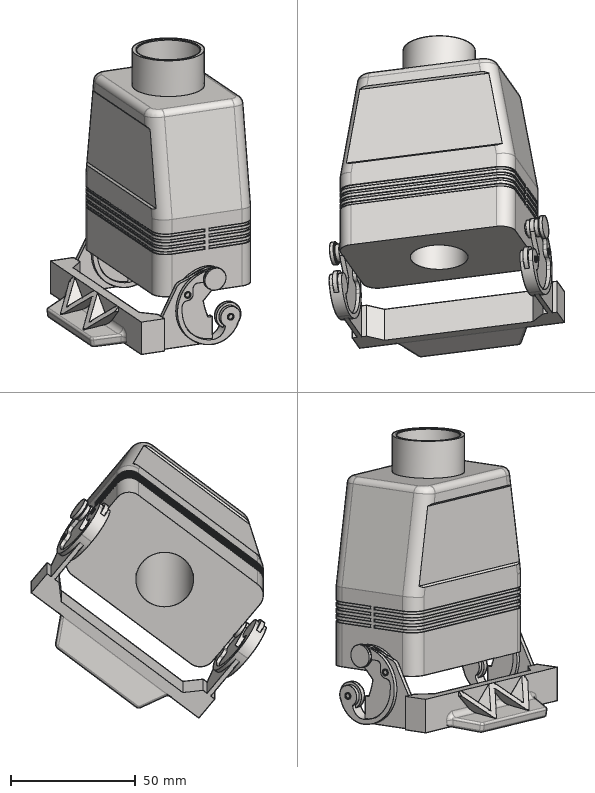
import cadquery as cq
import math


HOOD_HALF_X = 36.5
HOOD_HALF_Y = 21.5
HOOD_TOP = 76.1
TAPER_START = 32.5
TAPER_ANGLE = 10
HOOD_CORNER_R = 6.1
HOOD_TOP_R = 3.0

PANEL_DEPTH = 0.8
PANEL_BOTTOM = 35.9
PANEL_TOP = 69.3

GROOVE_FIRST = 18.4
GROOVE_PITCH = 2.5
GROOVE_COUNT = 4
GROOVE_WIDTH = 1.1
GROOVE_DEPTH = 0.6
GROOVE_GAP = 1.9

NECK_R = 14.5
NECK_TOP = 91.1
NECK_BORE_R = 12.7
NECK_BORE_DEPTH = 12.5
NECK_CHAMFER = 0.3
CABLE_BORE_R = 11.6

CHEEK_INNER = 37.3
CHEEK_OUTER = 42.5
WEB_INNER = 38.9
WEB_OUTER = 40.8
PIVOT_Z = 7.5
PIVOT_EYE_R = 4.0
PIVOT_PIN_R = 2.5
PIN_START = 26.1
KNOB_R = 4.6
KNOB_BASE = 43.0
KNOB_WIDTH = 89.0
KNOB_END = KNOB_WIDTH / 2
KNOB_COLLAR_R = 4.2
RIM_CENTRE_Z = -4.8
RIM_OUTER_R = 15.9
RIM_INNER_R = 13.8
HOOK_Y = 7.6
HOOK_Z = -10.0
HOOK_R = 4.3
ROLLER_R = 5.4
RIVET_Y = -11.5
RIVET_Z = 1.9
RIVET_SEAT_R = 2.5
RIVET_R = 1.4
RIVET_HOLE_R = 1.0
RIVET_HEIGHT = 0.4
SHOULDER_Y = -6.9
SHOULDER_Z = 6.2

HOOK_BACK_MIDDLE = (8.2, -17.2)
HOOK_BACK_END = (11.5, -11.8)
HOOK_THROAT_START = (5.3, -13.6)
HOOK_THROAT_MIDDLE = (3.7, -16.9)

WEB_BACK = 0.3
WEB_EYE_TANGENT = (3.0, 4.8)
WEB_NOTCH_TIP = (-3.6, -2.3)
WEB_NOTCH_MIDDLE = (-2.7, -6.1)
WEB_NOTCH_END = (-1.5, -9.4)
WEB_CREST_START = (-13.4, 6.8)
WEB_CREST_MIDDLE = (-14.9, 5.9)
WEB_CREST_END = (-15.8, 4.4)
WEB_TOP_ANGLE = 110
WEB_OVERLAP = 1.1

BAR_HALF_X = 42.9
BAR_BACK = -21.8
BAR_FRONT = -32.1
BAR_TOP = -6.6
BAR_BOTTOM = -20.3
BAR_RELIEF_HALF_X = 36.8
BAR_RELIEF_DEPTH = 5.8

GRIP_SLOPE = 10
GRIP_THICKNESS = 4.1
GRIP_LENGTH = 11.7
GRIP_TAIL = 2.3
GRIP_ROOT_HALF_X = 27.3
GRIP_TIP_HALF_X = 21.1
GRIP_CORNER_R = 1.7
GRIP_EDGE_R = 0.9
GRIP_ROOT_R = 2.6

GRIP_TILT = math.radians(GRIP_SLOPE)
GRIP_PLANE = cq.Plane(
    origin=(0, BAR_FRONT, BAR_BOTTOM),
    xDir=(1, 0, 0),
    normal=(0, -math.sin(GRIP_TILT), math.cos(GRIP_TILT)),
)

TOLERANCE = 0.02

RIB_HALF_X = 10.7
RIB_SIDE_HEIGHT = 1.9
RIB_TIP_Z = -18.4
RIB_TROUGH_HALF_X = 9.9
RIB_TROUGH_Z = -15.4
RIB_TROUGH_DRAFT = 3
RIB_REACH = 10.9


def x_slab(sketch, start, end):
    """Extrude a closed YZ outline between two X positions."""
    return sketch.extrude(end - start).translate((start, 0, 0))


def x_cylinder(y, z, radius, start, end):
    return x_slab(cq.Workplane("YZ").center(y, z).circle(radius), start, end)


def both_ends(solid):
    return solid.union(solid.mirror("YZ"))


def hood_body():
    top_half_x = HOOD_HALF_X - (HOOD_TOP - TAPER_START) * math.tan(math.radians(TAPER_ANGLE))
    body = (
        cq.Workplane("XZ")
        .polyline([
            (-HOOD_HALF_X, 0),
            (HOOD_HALF_X, 0),
            (HOOD_HALF_X, TAPER_START),
            (top_half_x, HOOD_TOP),
            (-top_half_x, HOOD_TOP),
            (-HOOD_HALF_X, TAPER_START),
        ])
        .close()
        .extrude(HOOD_HALF_Y, both=True)
    )
    body = body.edges("(not #Z) and (not |Y) and (not |X)").fillet(HOOD_CORNER_R)
    return body.faces(">Z").edges().fillet(HOOD_TOP_R)


def panel_cuts():
    floor = HOOD_HALF_Y - PANEL_DEPTH
    cut = x_slab(
        cq.Workplane("YZ")
        .polyline([
            (-HOOD_HALF_Y - PANEL_DEPTH, PANEL_BOTTOM - PANEL_DEPTH),
            (-floor, PANEL_BOTTOM + PANEL_DEPTH),
            (-floor, PANEL_TOP - PANEL_DEPTH),
            (-HOOD_HALF_Y - PANEL_DEPTH, PANEL_TOP + PANEL_DEPTH),
        ])
        .close(),
        -HOOD_HALF_X,
        HOOD_HALF_X,
    )
    return cut.union(cut.mirror("XZ"))


def groove_cuts():
    """Stack of shallow grooves, interrupted at the middle of each narrow face."""
    outer = cq.Workplane("XY").rect(2 * HOOD_HALF_X + 2.3, 2 * HOOD_HALF_Y + 2.3).extrude(GROOVE_WIDTH)
    core = (
        cq.Workplane("XY")
        .rect(2 * (HOOD_HALF_X - GROOVE_DEPTH), 2 * (HOOD_HALF_Y - GROOVE_DEPTH))
        .extrude(GROOVE_WIDTH)
        .edges("|Z")
        .fillet(HOOD_CORNER_R - GROOVE_DEPTH)
    )
    gap = cq.Workplane("XY").rect(2 * HOOD_HALF_X + 2.3, GROOVE_GAP).extrude(GROOVE_WIDTH)
    groove = outer.cut(core).cut(gap)
    cuts = cq.Workplane("XY")
    for index in range(GROOVE_COUNT):
        bottom = GROOVE_FIRST + index * GROOVE_PITCH - GROOVE_WIDTH / 2
        cuts = cuts.add(groove.translate((0, 0, bottom)))
    return cuts.combine()


def hood():
    neck = cq.Workplane("XY").circle(NECK_R).extrude(NECK_TOP)
    neck_bore = (
        cq.Workplane("XY", origin=(0, 0, NECK_TOP - NECK_BORE_DEPTH))
        .circle(NECK_BORE_R)
        .extrude(NECK_BORE_DEPTH)
    )
    cable_bore = cq.Workplane("XY").circle(CABLE_BORE_R).extrude(NECK_TOP)
    solid = hood_body().cut(panel_cuts()).cut(groove_cuts()).union(neck)
    solid = solid.cut(neck_bore).cut(cable_bore)
    return solid.faces(">Z").edges(cq.selectors.RadiusNthSelector(0)).chamfer(NECK_CHAMFER)


def point_on_circle(centre, radius, angle):
    """Point (y, z) on a circle; the angle is measured from +Y towards +Z."""
    turn = math.radians(angle)
    return centre[0] + radius * math.cos(turn), centre[1] + radius * math.sin(turn)


def cheek_rim():
    """Thick C-shaped rim from the pivot eye round to the hook, with a lobe for the rivet."""
    rim_centre = (0, RIM_CENTRE_Z)
    seat_edge_y = RIVET_Y + RIVET_SEAT_R
    seat_edge_z = RIVET_Z - RIVET_SEAT_R
    blend_r = RIVET_Y + RIM_INNER_R
    blend_centre = (RIVET_Y, seat_edge_z - blend_r)
    shoulder_r = SHOULDER_Y - seat_edge_y
    shoulder_centre = (SHOULDER_Y, SHOULDER_Z - shoulder_r)
    outline = (
        cq.Workplane("YZ")
        .moveTo(0, RIM_CENTRE_Z + RIM_OUTER_R)
        .threePointArc((-RIM_OUTER_R, RIM_CENTRE_Z), (0, RIM_CENTRE_Z - RIM_OUTER_R))
        .threePointArc(HOOK_BACK_MIDDLE, HOOK_BACK_END)
        .lineTo(HOOK_Y, HOOK_Z)
        .lineTo(*HOOK_THROAT_START)
        .threePointArc(HOOK_THROAT_MIDDLE, (0, RIM_CENTRE_Z - RIM_INNER_R))
        .threePointArc(point_on_circle(rim_centre, RIM_INNER_R, 225), (-RIM_INNER_R, RIM_CENTRE_Z))
        .lineTo(-RIM_INNER_R, blend_centre[1])
        .threePointArc(point_on_circle(blend_centre, blend_r, 135), (RIVET_Y, seat_edge_z))
        .threePointArc(
            point_on_circle((RIVET_Y, RIVET_Z), RIVET_SEAT_R, -45),
            (seat_edge_y, RIVET_Z),
        )
        .lineTo(seat_edge_y, shoulder_centre[1])
        .threePointArc(
            point_on_circle(shoulder_centre, shoulder_r, 135),
            (SHOULDER_Y, SHOULDER_Z),
        )
        .lineTo(0, SHOULDER_Z)
        .close()
    )
    rim = x_slab(outline, CHEEK_INNER, CHEEK_OUTER)
    hook = x_cylinder(HOOK_Y, HOOK_Z, HOOK_R, CHEEK_INNER, CHEEK_OUTER)
    eye_r = RIM_CENTRE_Z + RIM_OUTER_R - PIVOT_Z
    eye = x_cylinder(0, PIVOT_Z, eye_r, CHEEK_INNER, CHEEK_OUTER)
    return rim.union(hook).union(eye)


def cheek_web():
    """Thin middle plate that fills the rim and reaches forward to the cross bar."""
    outline = (
        cq.Workplane("YZ")
        .moveTo(0, PIVOT_Z)
        .lineTo(*WEB_EYE_TANGENT)
        .lineTo(*WEB_NOTCH_TIP)
        .threePointArc(WEB_NOTCH_MIDDLE, WEB_NOTCH_END)
        .lineTo(WEB_BACK, WEB_NOTCH_END[1])
        .lineTo(WEB_BACK, BAR_BOTTOM)
        .lineTo(BAR_BACK - WEB_OVERLAP, BAR_BOTTOM)
        .lineTo(BAR_BACK - WEB_OVERLAP, BAR_TOP)
        .lineTo(BAR_BACK, BAR_TOP)
        .lineTo(*WEB_CREST_END)
        .threePointArc(WEB_CREST_MIDDLE, WEB_CREST_START)
        .lineTo(*point_on_circle((0, PIVOT_Z), PIVOT_EYE_R, WEB_TOP_ANGLE))
        .close()
    )
    roller = x_cylinder(HOOK_Y, HOOK_Z, ROLLER_R, WEB_INNER, WEB_OUTER)
    eye = x_cylinder(0, PIVOT_Z, PIVOT_EYE_R, WEB_INNER, WEB_OUTER)
    return x_slab(outline, WEB_INNER, WEB_OUTER).union(roller).union(eye)


def rivet(y, z):
    head_end = CHEEK_OUTER + RIVET_HEIGHT
    head = x_cylinder(y, z, RIVET_R, CHEEK_INNER, head_end)
    return head.cut(x_cylinder(y, z, RIVET_HOLE_R, CHEEK_OUTER, head_end))


def pivot_knob():
    """Pivot pin from the hood wall out to a round head."""
    pin = x_cylinder(0, PIVOT_Z, PIVOT_PIN_R, PIN_START, CHEEK_OUTER)
    collar = x_cylinder(0, PIVOT_Z, KNOB_COLLAR_R, CHEEK_OUTER, KNOB_BASE)
    head = x_cylinder(0, PIVOT_Z, KNOB_R, KNOB_BASE, KNOB_END)
    return pin.union(collar).union(head)


def crest_groove():
    """Groove between the two flanges of the rim, down to the straight top edge of the web."""
    eye_centre = (0, PIVOT_Z)
    outline = (
        cq.Workplane("YZ")
        .polyline([
            point_on_circle(eye_centre, PIVOT_EYE_R, WEB_TOP_ANGLE),
            WEB_CREST_START,
            (WEB_CREST_START[0], RIM_CENTRE_Z + RIM_OUTER_R),
        ])
        .close()
    )
    return x_slab(outline, WEB_INNER, WEB_OUTER)


def cheek():
    solid = cheek_rim().union(cheek_web()).cut(crest_groove()).union(pivot_knob())
    return solid.union(rivet(RIVET_Y, RIVET_Z)).union(rivet(HOOK_Y, HOOK_Z))


def cross_bar():
    relief_y = BAR_BACK - BAR_RELIEF_DEPTH
    relief_floor_x = BAR_RELIEF_HALF_X - BAR_RELIEF_DEPTH
    return (
        cq.Workplane("XY", origin=(0, 0, BAR_BOTTOM))
        .polyline([
            (-BAR_HALF_X, BAR_FRONT),
            (BAR_HALF_X, BAR_FRONT),
            (BAR_HALF_X, BAR_BACK),
            (BAR_RELIEF_HALF_X, BAR_BACK),
            (relief_floor_x, relief_y),
            (-relief_floor_x, relief_y),
            (-BAR_RELIEF_HALF_X, BAR_BACK),
            (-BAR_HALF_X, BAR_BACK),
        ])
        .close()
        .extrude(BAR_TOP - BAR_BOTTOM)
    )


def grip_plate():
    """Trapezoidal plate sloping down and forward from the lower edge of the bar."""
    side_slope = (GRIP_ROOT_HALF_X - GRIP_TIP_HALF_X) / GRIP_LENGTH
    tail_half_x = GRIP_ROOT_HALF_X + side_slope * GRIP_TAIL
    plate = (
        cq.Workplane(GRIP_PLANE)
        .polyline([
            (-tail_half_x, GRIP_TAIL),
            (-GRIP_TIP_HALF_X, -GRIP_LENGTH),
            (GRIP_TIP_HALF_X, -GRIP_LENGTH),
            (tail_half_x, GRIP_TAIL),
        ])
        .close()
        .extrude(GRIP_THICKNESS)
    )
    tip_corners = plate.edges(cq.selectors.ParallelDirSelector(GRIP_PLANE.zDir)).edges(
        cq.selectors.BoxSelector(
            (-GRIP_ROOT_HALF_X, BAR_FRONT - 2 * GRIP_LENGTH, 2 * BAR_BOTTOM),
            (GRIP_ROOT_HALF_X, BAR_FRONT, BAR_TOP),
        )
    )
    return tip_corners.fillet(GRIP_CORNER_R)


def round_grip_rim(solid, height):
    """Round the outer edges of the grip that lie at one height above its underside."""

    def on_rim(edge):
        centre = GRIP_PLANE.toLocalCoords(edge.Center())
        along_face = abs(edge.tangentAt(0.5).dot(GRIP_PLANE.zDir)) < TOLERANCE
        ahead_of_bar = edge.Center().y < BAR_FRONT - TOLERANCE
        return along_face and ahead_of_bar and abs(centre.z - height) < TOLERANCE

    return solid.edges().filter(on_rim).fillet(GRIP_EDGE_R)


def blend_grip_root(solid):
    """Fillet the line where the top and sides of the grip meet the front of the bar."""

    def on_root(edge):
        centre = edge.Center()
        on_bar_front = abs(centre.y - BAR_FRONT) < TOLERANCE
        inside_bar = abs(centre.x) < BAR_HALF_X - TOLERANCE
        return on_bar_front and inside_bar and BAR_BOTTOM + TOLERANCE < centre.z < BAR_TOP - TOLERANCE

    return solid.edges().filter(on_root).fillet(GRIP_ROOT_R)


def bar_with_grip():
    solid = cross_bar().union(grip_plate())
    solid = round_grip_rim(solid, GRIP_THICKNESS)
    solid = blend_grip_root(solid)
    return round_grip_rim(solid, 0)


def rib():
    """V-shaped rib with an open trough, its front cut off along a slanting plane."""
    reach_y = BAR_FRONT - RIB_REACH
    wall = (
        cq.Workplane("XZ", origin=(0, BAR_FRONT, 0))
        .polyline([
            (-RIB_HALF_X, BAR_TOP),
            (-RIB_HALF_X, BAR_TOP - RIB_SIDE_HEIGHT),
            (0, RIB_TIP_Z),
            (RIB_HALF_X, BAR_TOP - RIB_SIDE_HEIGHT),
            (RIB_HALF_X, BAR_TOP),
        ])
        .close()
        .extrude(RIB_REACH)
    )
    trough_top_z = 2 * BAR_TOP - RIB_TROUGH_Z
    trough = (
        cq.Workplane("XZ", origin=(0, reach_y, 0))
        .polyline([
            (-2 * RIB_TROUGH_HALF_X, trough_top_z),
            (0, RIB_TROUGH_Z),
            (2 * RIB_TROUGH_HALF_X, trough_top_z),
        ])
        .close()
        .extrude(-RIB_REACH, taper=RIB_TROUGH_DRAFT)
    )
    slant = x_slab(
        cq.Workplane("YZ")
        .polyline([(BAR_FRONT, BAR_TOP), (reach_y, BAR_TOP), (reach_y, RIB_TIP_Z)])
        .close(),
        -RIB_HALF_X,
        RIB_HALF_X,
    )
    return wall.cut(trough).cut(slant)


lever = both_ends(cheek()).union(bar_with_grip())
for side in (-1, 1):
    lever = lever.union(rib().translate((side * RIB_HALF_X, 0, 0)))

result = hood().union(lever)